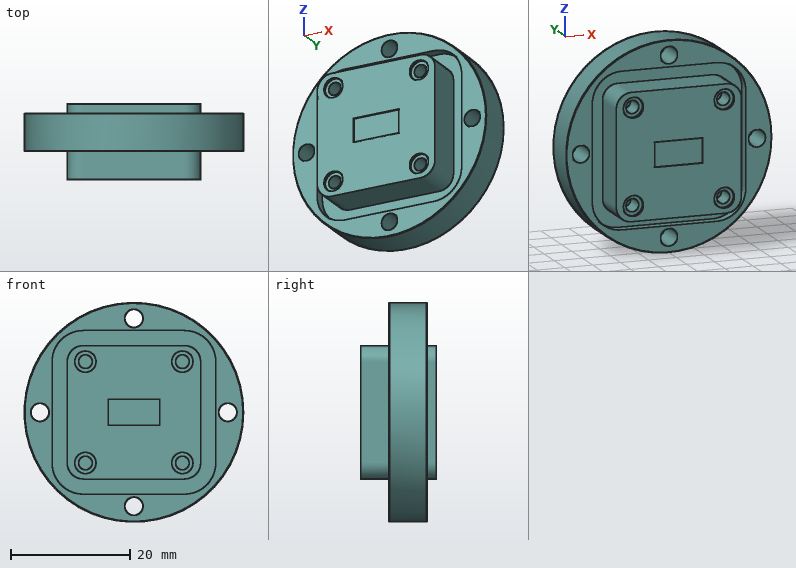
import cadquery as cq

flange_diameter = 36.83
flange_thickness = 6.4
flange_chamfer = 0.1

block_side = 22.4
block_corner_radius = 2.7
block_front_height = 4.75
block_back_height = 1.55

pocket_gap = 2.55
pocket_depth = 1.88
pocket_side = block_side + 2 * pocket_gap
pocket_corner_radius = block_corner_radius + pocket_gap

mount_hole_diameter = 3.02
mount_circle_diameter = 31.53
mount_hole_count = 4

screw_spacing_x = 16.28
screw_spacing_z = 17.0
screw_hole_diameter = 2.3
screw_hole_depth = 4.42
counterbore_diameter = 3.57
counterbore_depth = 0.5

recess_width = 8.6
recess_height = 4.35
recess_depth = 0.3

flange_front_y = -flange_thickness / 2
flange_back_y = flange_thickness / 2
block_front_y = flange_front_y - block_front_height
block_back_y = flange_back_y + block_back_height


def plane_at(y):
    """Workplane at the given Y whose extrusions run toward +Y."""
    return cq.Workplane(cq.Plane(origin=(0, y, 0), xDir=(1, 0, 0), normal=(0, 1, 0)))


def rounded_square(side, corner_radius, start_y, length):
    return plane_at(start_y).rect(side, side).extrude(length).edges("|Y").fillet(corner_radius)


def make_flange():
    disc = plane_at(flange_front_y).circle(flange_diameter / 2).extrude(flange_thickness)
    disc = disc.faces("<Y or >Y").edges().chamfer(flange_chamfer)
    pocket = rounded_square(pocket_side, pocket_corner_radius, flange_front_y, pocket_depth)
    mount_holes = (
        plane_at(flange_front_y)
        .polarArray(mount_circle_diameter / 2, 0, 360, mount_hole_count)
        .circle(mount_hole_diameter / 2)
        .extrude(flange_thickness)
    )
    return disc.cut(pocket).cut(mount_holes)


def make_block():
    return rounded_square(block_side, block_corner_radius, block_front_y, block_back_y - block_front_y)


def screw_cylinders(diameter, depth):
    return (
        plane_at(block_front_y)
        .rect(screw_spacing_x, screw_spacing_z, forConstruction=True)
        .vertices()
        .circle(diameter / 2)
        .extrude(depth)
    )


recess = plane_at(block_front_y).rect(recess_width, recess_height).extrude(recess_depth)

result = (
    make_flange()
    .union(make_block())
    .cut(screw_cylinders(screw_hole_diameter, screw_hole_depth))
    .cut(screw_cylinders(counterbore_diameter, counterbore_depth))
    .cut(recess)
)